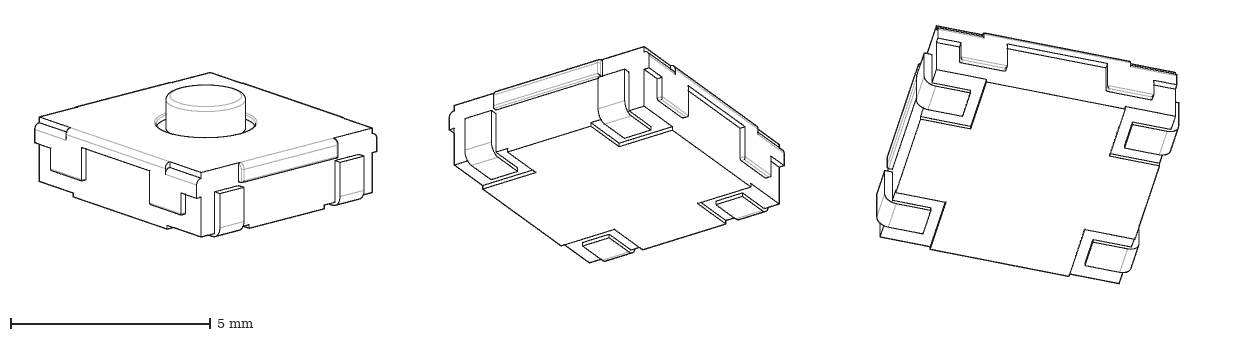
import cadquery as cq

body_length = 6.2
body_width = 5.7
cover_top = 1.8
sheet = 0.15
sheet_edge_radius = 0.05

recess_height = 0.1
recess_inner_x = 1.8
recess_inner_y = 1.25

ledge_bottom = 1.15
ledge_top = cover_top - sheet
skirt_half_length = 1.9
skirt_bottom = 1.45
leg_inner_x = 1.3
leg_outer_x = 2.5
leg_bottom = 0.55

tab_half_width = 1.6
tab_bottom = 1.3

terminal_inner_x = 2.1
terminal_outer_x = 3.3
terminal_inner_y = 1.6
terminal_outer_y = 2.4
terminal_top = 1.2
terminal_bend_radius = 0.3

button_diameter = 2.0
button_top = 2.5
button_edge_radius = 0.1
opening_diameter = 2.5
opening_edge_radius = sheet / 4
opening_depth = sheet

half_length = body_length / 2
half_width = body_width / 2
outer_width = half_width + sheet
sides = (-1, 1)
corners = [(side_x, side_y) for side_x in sides for side_y in sides]


def block(x_limits, y_limits, z_limits):
    """Box spanning the given (low, high) limits on each axis."""
    spans = (x_limits, y_limits, z_limits)
    size = [high - low for low, high in spans]
    origin = cq.Vector(*[low for low, high in spans])
    return cq.Workplane("XY").box(*size, centered=False).translate(origin)


def to_corner(solid, side_x, side_y):
    """Copy of a solid from the +X +Y quarter, mirrored into another quarter."""
    if side_x < 0:
        solid = solid.mirror("YZ")
    if side_y < 0:
        solid = solid.mirror("XZ")
    return solid


def make_body():
    """Housing and cover plate in one block, with recessed bottom corners."""
    body = block((-half_length, half_length), (-half_width, half_width), (0, cover_top))
    recess = block((recess_inner_x, half_length), (recess_inner_y, half_width), (0, recess_height))
    for side_x, side_y in corners:
        body = body.cut(to_corner(recess, side_x, side_y))
    return body


def make_ledge():
    """Rounded housing ledge beside a skirt, flush with the end of the body."""
    ledge = block((skirt_half_length, half_length), (0, outer_width), (ledge_bottom, ledge_top))
    return ledge.edges(">Y and >Z").fillet(sheet)


def make_skirt():
    """Cover edge bent down on the +Y side."""
    skirt = block((-skirt_half_length, skirt_half_length), (0, outer_width), (skirt_bottom, cover_top))
    return skirt.edges(">Y and >Z").fillet(sheet)


def make_leg():
    """Leg hanging from a skirt, its exposed lower edges rounded."""
    leg = block((leg_inner_x, leg_outer_x), (0, outer_width), (leg_bottom, skirt_bottom))
    return leg.edges("<Z and (>X or >Y or <X)").fillet(sheet_edge_radius)


def make_tab():
    """Cover tab bent down on the +X side, with rounded ends and lower edge."""
    tab = block((0, half_length + sheet), (-tab_half_width, tab_half_width), (tab_bottom, cover_top))
    tab = tab.edges(">X and >Z").fillet(sheet)
    return tab.faces(">X").edges("<Z or <Y or >Y").fillet(sheet_edge_radius)


def make_terminal():
    """Solder terminal with a rounded outer bend; its inner part lies in the body."""
    terminal = block(
        (terminal_inner_x, terminal_outer_x),
        (terminal_inner_y, terminal_outer_y),
        (0, terminal_top),
    )
    return terminal.edges(">X and <Z").fillet(terminal_bend_radius)


def make_button():
    """Round push button standing on the floor of the opening."""
    floor = cover_top - opening_depth
    button = cq.Workplane("XY").workplane(offset=floor).circle(button_diameter / 2)
    return button.extrude(button_top - floor).faces(">Z").edges().fillet(button_edge_radius)


def cut_opening(part):
    """Sink the round opening into the cover and round its rim, the only circle on the top face."""
    opening = cq.Workplane("XY").workplane(offset=cover_top).circle(opening_diameter / 2)
    part = part.cut(opening.extrude(-opening_depth))
    return part.faces(">Z").edges("%CIRCLE").fillet(opening_edge_radius)


result = make_body()
result = result.union(make_skirt()).union(make_skirt().mirror("XZ"))
result = result.union(make_tab()).union(make_tab().mirror("YZ"))
for side_x, side_y in corners:
    for feature in (make_ledge(), make_leg(), make_terminal()):
        result = result.union(to_corner(feature, side_x, side_y))
result = cut_opening(result).union(make_button())